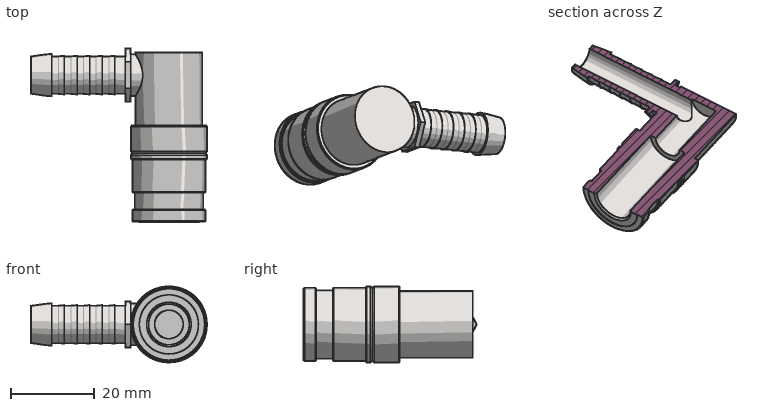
import cadquery as cq
import math


stem_radius = 8.0
stem_top = 5.4
collar_radius = 9.1
collar_top = -12.0
collar_bottom = -20.15
vee_groove_centre = -18.6
vee_groove_depth = 0.4
vee_groove_half_width = 0.48
sleeve_radius = 8.75
sleeve_bottom = -28.05
neck_radius = 8.2
flange_top = -32.0
flange_bottom = -35.0
edge_chamfer = 0.25
insert_radius = 7.05
insert_protrusion = 0.1
body_bottom = flange_bottom - insert_protrusion

socket_radius = 4.85
socket_mouth_radius = 5.3
socket_mouth_depth = socket_mouth_radius - socket_radius
socket_floor = collar_top
passage_radius = 3.4
passage_end = passage_radius

barb_tip = -32.9
barb_tip_radius = 4.45
barb_head_length = 5.0
barb_head_radius = 5.1
barb_head_bulge = 0.07
barb_bore_radius = 3.0
shank_radius = 4.5
ridge_radius = 4.65
ridge_count = 5
ridge_pitch = 3.0
ridge_length = ridge_pitch / 2

hex_across_flats = 11.0
hex_across_corners = hex_across_flats / math.cos(math.pi / 6)
hex_left = -10.4
hex_thickness = 1.25
joint_radius = 5.0


def cylinder_along_y(radius, start, end):
    return cq.Workplane("XZ", origin=(0, start, 0)).circle(radius).extrude(start - end)


def cylinder_along_x(radius, start, end):
    return cq.Workplane("YZ", origin=(start, 0, 0)).circle(radius).extrude(end - start)


def chamfered_band(radius, top, bottom):
    """Disc about the Y axis with both rims chamfered."""
    return cylinder_along_y(radius, top, bottom).edges().chamfer(edge_chamfer)


def make_vee_groove():
    """Triangular ring about the Y axis."""
    section = cq.Workplane("XY").polyline(
        [
            (collar_radius, vee_groove_centre + vee_groove_half_width),
            (collar_radius - vee_groove_depth, vee_groove_centre),
            (collar_radius, vee_groove_centre - vee_groove_half_width),
        ]
    )
    return section.close().revolve(360, (0, 0, 0), (0, 1, 0))


def make_body():
    collar = chamfered_band(collar_radius, collar_top, collar_bottom).cut(make_vee_groove())
    sleeve = cylinder_along_y(sleeve_radius, collar_bottom + edge_chamfer, sleeve_bottom)
    sleeve = sleeve.faces("<Y").edges().chamfer(edge_chamfer)
    body = cylinder_along_y(stem_radius, stem_top, flange_bottom)
    body = body.union(collar).union(sleeve)
    body = body.union(cylinder_along_y(neck_radius, sleeve_bottom + edge_chamfer, flange_bottom))
    body = body.union(chamfered_band(sleeve_radius, flange_top, flange_bottom))
    return body.union(cylinder_along_y(insert_radius, flange_top, body_bottom))


def make_barb():
    head_end = barb_tip + barb_head_length
    head_middle = (
        (barb_tip + head_end) / 2,
        (barb_tip_radius + barb_head_radius) / 2 + barb_head_bulge,
    )
    profile = (
        cq.Workplane("XY")
        .moveTo(barb_tip, 0)
        .lineTo(barb_tip, barb_tip_radius)
        .threePointArc(head_middle, (head_end, barb_head_radius))
        .lineTo(head_end, shank_radius)
    )
    for index in range(ridge_count):
        ridge_start = head_end + index * ridge_pitch + ridge_length
        ridge_end = ridge_start + ridge_length
        profile = (
            profile.lineTo(ridge_start, shank_radius)
            .lineTo(ridge_end, ridge_radius)
            .lineTo(ridge_end, shank_radius)
        )
    profile = profile.lineTo(hex_left, shank_radius).lineTo(hex_left, 0).close()
    return profile.revolve(360, (0, 0, 0), (1, 0, 0))


def make_hexagon():
    flats = cq.Workplane("YZ", origin=(hex_left, 0, 0))
    return flats.polygon(6, hex_across_corners).extrude(hex_thickness)


def make_bores():
    """Socket with a chamfered mouth, narrower blind passage, and the barb bore meeting it."""
    mouth = cq.Workplane("XZ", origin=(0, body_bottom, 0)).circle(socket_mouth_radius)
    mouth = mouth.workplane(offset=-socket_mouth_depth).circle(socket_radius).loft()
    socket = cylinder_along_y(socket_radius, socket_floor, body_bottom)
    passage = cylinder_along_y(passage_radius, passage_end, socket_floor)
    barb_bore = cylinder_along_x(barb_bore_radius, barb_tip, 0)
    return socket.union(mouth).union(passage).union(barb_bore)


joint = cylinder_along_x(joint_radius, hex_left, 0)
outside = make_body().union(joint).union(make_hexagon()).union(make_barb())
result = outside.cut(make_bores())